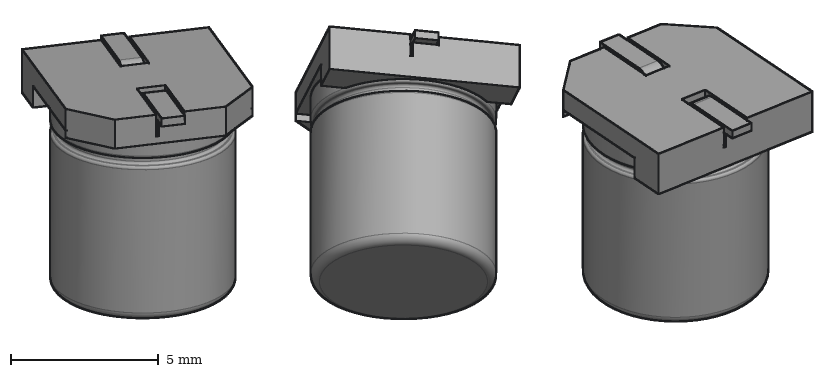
import cadquery as cq
import math

total_height = 7.7
base_side = 6.6
half_side = base_side / 2
corner_cut = 1.34
slab_depth = 0.8
tall_block_depth = 1.6
short_block_depth = 1.07
block_length = corner_cut

can_radius = 3.15
can_rim_radius = 0.3
crimp_depth = 0.25
crimp_radius = 0.1
crimp_neck_height = 0.1
neck_radius = can_radius - crimp_depth

lead_span = 7.3
lead_thickness = 0.3
lead_width = 0.82
lead_bend_radius = 0.4
lead_inner_x = 1.09
slot_width = 1.0
slot_inner_x = 0.985
can_top = -lead_thickness
notch_width = (slot_width - lead_width) / 2
rim_thickness = half_side - can_radius


def block(x_min, x_max, y_min, y_max, z_min, z_max):
    """Axis-aligned box between the given limits."""
    size = (x_max - x_min, y_max - y_min, z_max - z_min)
    return cq.Workplane("XY").box(*size, centered=False).translate((x_min, y_min, z_min))


def half_turn(shape):
    """Copy of a feature on the opposite side of the can axis."""
    return shape.rotate((0, 0, 0), (0, 0, 1), 180)


def make_base():
    """Moulded base with two end blocks, a can seat and two lead slots."""
    cut_start = half_side - corner_cut
    outline = (
        cq.Workplane("XY")
        .moveTo(-half_side, -half_side)
        .lineTo(cut_start, -half_side)
        .lineTo(half_side, -cut_start)
        .lineTo(half_side, cut_start)
        .lineTo(cut_start, half_side)
        .lineTo(-half_side, half_side)
        .close()
    )
    base = outline.extrude(-tall_block_depth)

    block_inner_x = half_side - block_length
    base = base.cut(
        block(-block_inner_x, block_inner_x, -half_side, half_side, -tall_block_depth, -slab_depth)
    )
    base = base.cut(
        block(block_inner_x, half_side, -half_side, half_side, -tall_block_depth, -short_block_depth)
    )

    seat = cq.Workplane("XY").workplane(offset=can_top).circle(can_radius).extrude(-tall_block_depth)
    base = base.cut(seat)

    slot = block(-half_side, -slot_inner_x, -slot_width / 2, slot_width / 2, -lead_thickness, 0)
    notch_start = slot_width / 2 - notch_width
    notch = block(-half_side, -half_side + rim_thickness, notch_start, slot_width / 2, -slab_depth, 0)
    opening = slot.union(notch)
    return base.cut(opening).cut(half_turn(opening))


def make_can():
    """Turned can with a crimp groove below the base and a rounded closed end."""
    diagonal = math.sqrt(0.5)
    crimp_top = -tall_block_depth
    neck_top = crimp_top - 2 * crimp_radius
    neck_bottom = neck_top - crimp_neck_height
    crimp_bottom = neck_bottom - 2 * crimp_radius
    lip_radius = can_radius - crimp_radius
    root_radius = neck_radius + crimp_radius
    arc_reach = crimp_radius * diagonal
    rim_center = can_radius - can_rim_radius
    rim_reach = can_rim_radius * diagonal
    profile = (
        cq.Workplane("XZ")
        .moveTo(0, can_top)
        .lineTo(can_radius, can_top)
        .lineTo(can_radius, crimp_top)
        .threePointArc(
            (lip_radius + arc_reach, crimp_top - arc_reach),
            (lip_radius, crimp_top - crimp_radius),
        )
        .lineTo(root_radius, crimp_top - crimp_radius)
        .threePointArc((root_radius - arc_reach, neck_top + arc_reach), (neck_radius, neck_top))
        .lineTo(neck_radius, neck_bottom)
        .threePointArc(
            (root_radius - arc_reach, neck_bottom - arc_reach),
            (root_radius, neck_bottom - crimp_radius),
        )
        .lineTo(lip_radius, crimp_bottom + crimp_radius)
        .threePointArc((lip_radius + arc_reach, crimp_bottom + arc_reach), (can_radius, crimp_bottom))
        .lineTo(can_radius, can_rim_radius - total_height)
        .threePointArc(
            (rim_center + rim_reach, can_rim_radius - total_height - rim_reach),
            (rim_center, -total_height),
        )
        .lineTo(0, -total_height)
        .close()
    )
    return profile.revolve(360, (0, 0, 0), (0, 1, 0))


def make_lead():
    """Flat -X lead that curls down into the top of the can."""
    bend_start = -lead_inner_x - lead_bend_radius
    bend_reach = lead_bend_radius * math.sqrt(0.5)
    profile = (
        cq.Workplane("XZ", origin=(0, lead_width / 2, 0))
        .moveTo(-lead_span / 2, 0)
        .lineTo(bend_start, 0)
        .threePointArc(
            (bend_start + bend_reach, bend_reach - lead_bend_radius),
            (-lead_inner_x, -lead_bend_radius),
        )
        .lineTo(bend_start, -lead_bend_radius)
        .lineTo(bend_start, -lead_thickness)
        .lineTo(-lead_span / 2, -lead_thickness)
        .close()
    )
    return profile.extrude(lead_width)


base = make_base()
lead = make_lead()
capacitor = make_can().union(lead).union(half_turn(lead))

result = cq.Compound.makeCompound([base.val(), capacitor.val()])